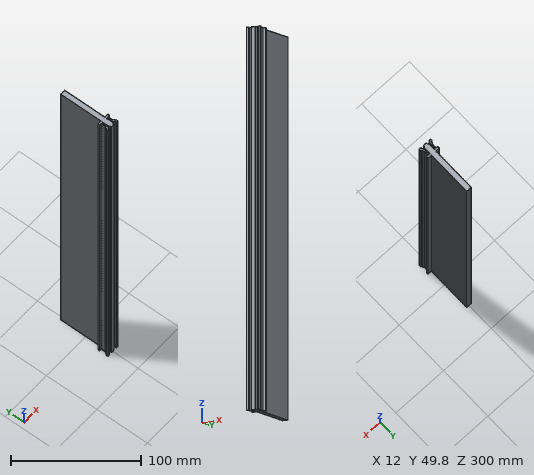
import cadquery as cq

length = 300.0
depth = 49.8
width = 12.0

blade_half = 2.5
tip_half = 1.5
taper_start = 1.8
taper_end = 1.2

flange_top = 10.0
flange_thickness = 1.8
flange_bottom = flange_top - flange_thickness

leg_outer = 4.2
leg_thickness = 1.0
leg_inner = leg_outer - leg_thickness
flare_top = 4.2
flare_bottom = 3.0
flare_outer = 5.0
foot_outer = width / 2
foot_inner = 4.2
foot_top = 2.0
foot_side_top = 1.8
leg_inner_bottom = 2.0
foot_inner_top = 1.2


def extrude_outline(points):
    return cq.Workplane("XY").polyline(points).close().extrude(length)


def make_blade():
    return extrude_outline([
        (-tip_half, 0),
        (tip_half, 0),
        (tip_half, taper_end),
        (blade_half, taper_start),
        (blade_half, depth),
        (-blade_half, depth),
        (-blade_half, taper_start),
        (-tip_half, taper_end),
    ])


def make_flange():
    return (
        cq.Workplane("XY")
        .center(0, flange_bottom + flange_thickness / 2)
        .rect(width, flange_thickness)
        .extrude(length)
    )


def make_leg(side):
    """Leg on the +X (side = 1) or -X (side = -1) side of the blade."""
    right_outline = [
        (leg_inner, flange_top),
        (leg_outer, flange_top),
        (leg_outer, flare_top),
        (flare_outer, flare_bottom),
        (flare_outer, foot_top),
        (foot_outer, foot_side_top),
        (foot_outer, 0),
        (foot_inner, 0),
        (foot_inner, foot_inner_top),
        (leg_inner, leg_inner_bottom),
    ]
    return extrude_outline([(side * x, y) for x, y in right_outline])


section = make_blade().union(make_flange())
for side in (-1, 1):
    section = section.union(make_leg(side))

result = section.translate((0, -depth / 2, -length / 2))